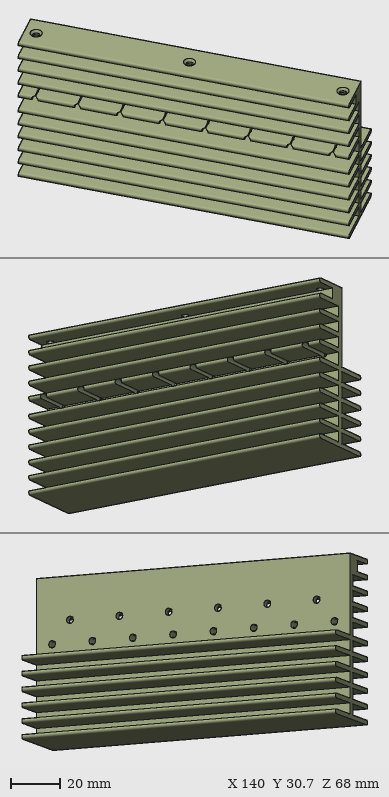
import cadquery as cq

length = 140.0
depth = 30.7
height = 68.0

web_thickness = 3.0
fin_thickness = 2.0
lower_bank_height = 34.5
lower_fin_count = 6
upper_bank_height = 28.0
upper_fin_count = 5
fin_reach = depth / 2
tip_radius = fin_thickness / 2

rail_thickness = 7.1

screw_diameter = 3.0
countersink_diameter = 4.9
countersink_angle = 90
screw_count = 3
screw_end_margin = 5.0
screw_y = -7.0

cross_hole_diameter = 3.0
upper_row_count = 6
upper_row_end_margin = 15.0
upper_row_z = 50.0
lower_row_count = 8
lower_row_end_margin = 7.0
slot_break = 0.01


def bar(y_start, y_end, z_start, z_end):
    """Full-length rectangular bar between the given Y and Z limits."""
    return cq.Workplane("XY").box(
        length, y_end - y_start, z_end - z_start, centered=(True, False, False)
    ).translate((0, y_start, z_start))


def fin(direction, z_bottom):
    """Round-tipped fin from the web centre plane towards +Y (1) or -Y (-1)."""
    z_top = z_bottom + fin_thickness
    y_round = direction * (fin_reach - tip_radius)
    return (
        cq.Workplane("YZ", origin=(-length / 2, 0, 0))
        .moveTo(0, z_bottom)
        .lineTo(y_round, z_bottom)
        .threePointArc((direction * fin_reach, z_bottom + tip_radius), (y_round, z_top))
        .lineTo(0, z_top)
        .close()
        .extrude(length)
    )


def fin_levels(z_start, bank_height, count):
    """Underside heights of the evenly spaced fins that fill a bank."""
    pitch = (bank_height - fin_thickness) / (count - 1)
    return [z_start + i * pitch for i in range(count)]


def row_positions(count, end_margin):
    """Evenly spaced X positions, centred on the length."""
    pitch = (length - 2 * end_margin) / (count - 1)
    return [-length / 2 + end_margin + i * pitch for i in range(count)]


def cross_holes(count, end_margin, z):
    """Row of cylinders along Y that pass through the whole depth."""
    points = [(x, z) for x in row_positions(count, end_margin)]
    return (
        cq.Workplane("XZ", origin=(0, depth / 2, 0))
        .pushPoints(points)
        .circle(cross_hole_diameter / 2)
        .extrude(depth)
    )


lower_levels = fin_levels(0, lower_bank_height, lower_fin_count)
upper_levels = fin_levels(height - upper_bank_height, upper_bank_height, upper_fin_count)

web_face = web_thickness / 2
body = bar(-web_face, web_face, 0, height)
body = body.union(bar(web_face - rail_thickness, web_face, upper_levels[-2], height))
for level in lower_levels + upper_levels:
    body = body.union(fin(-1, level))
for level in lower_levels:
    body = body.union(fin(1, level))

body = (
    body.faces(">Z")
    .workplane(origin=(0, 0, height))
    .pushPoints([(x, screw_y) for x in row_positions(screw_count, screw_end_margin)])
    .cskHole(screw_diameter, countersink_diameter, countersink_angle, depth=fin_thickness)
)

lower_row_z = upper_levels[0] + fin_thickness + slot_break - cross_hole_diameter / 2
body = body.cut(cross_holes(upper_row_count, upper_row_end_margin, upper_row_z))
body = body.cut(cross_holes(lower_row_count, lower_row_end_margin, lower_row_z))

result = body